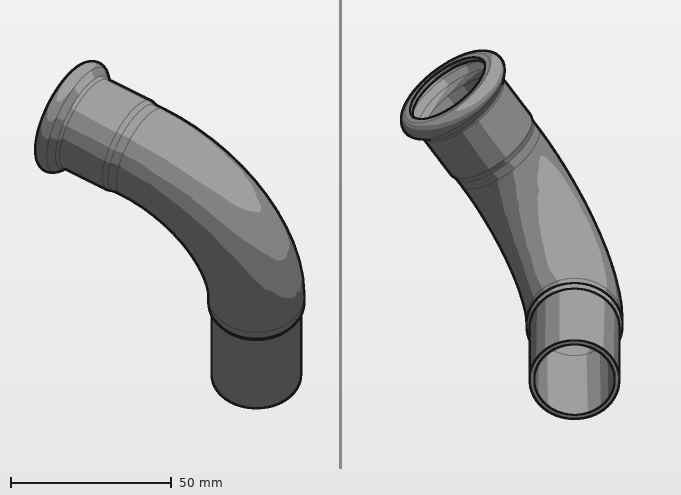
import cadquery as cq
import math

wall = 1.5
overall_height = 98.85
spigot_radius = 28.0 / 2
tube_radius = 30.0 / 2
socket_radius = 31.0 / 2
socket_bore_radius = 28.0 / 2
bead_radius = 37.7 / 2
bend_radius = 42.1
collar_length = 3.1
taper_length = 1.8
socket_face_x = -71.1
bead_round = 3.0
bead_cone_angle = math.radians(45)
bead_length = 8.3
bead_blend_radius = 1.7

bore_radius = spigot_radius - wall
collar_end = bend_radius + collar_length
taper_end = collar_end + taper_length
seal_round = bead_round - wall
seal_blend_radius = bead_blend_radius + wall
bead_center_radius = bead_radius - bead_round
spigot_end_z = bead_radius - overall_height


def bead_arc(radius, angle):
    """Point on the bead rounding, with the angle measured from the outward radial direction."""
    return (
        socket_face_x + bead_round + radius * math.sin(angle),
        bead_center_radius + radius * math.cos(angle),
    )


def bead_profile(outline, radius, blend_radius, barrel_radius):
    """Add the rounded bead, its cone and the blend into the socket barrel."""
    cone_start = bead_arc(radius, bead_cone_angle)
    blend_end = socket_face_x + bead_length
    blend_start = blend_end - blend_radius * math.sin(bead_cone_angle)
    blend_rise = blend_radius * (1 - math.cos(bead_cone_angle))
    return (
        outline.lineTo(*bead_arc(radius, -math.pi / 2))
        .threePointArc(bead_arc(radius, (bead_cone_angle - math.pi / 2) / 2), cone_start)
        .lineTo(blend_start, barrel_radius + blend_rise)
        .tangentArcPoint((blend_end, barrel_radius), relative=False)
    )


def revolve_about_x(outline):
    """Close the half profile and turn it around the socket axis."""
    return outline.close().revolve(360, (0, 0, 0), (1, 0, 0))


def socket_body():
    """Solid bead, barrel, taper and collar up to the start of the bend."""
    outline = cq.Workplane("XZ").moveTo(socket_face_x, 0)
    outline = bead_profile(outline, bead_round, bead_blend_radius, socket_radius)
    outline = (
        outline.lineTo(-taper_end, socket_radius)
        .lineTo(-collar_end, tube_radius)
        .lineTo(-bend_radius, tube_radius)
        .lineTo(-bend_radius, 0)
    )
    return revolve_about_x(outline)


def socket_cavity():
    """Socket bore with the seal groove inside the bead."""
    lip_back_x = socket_face_x + wall
    outline = (
        cq.Workplane("XZ")
        .moveTo(socket_face_x, 0)
        .lineTo(socket_face_x, socket_bore_radius)
        .lineTo(lip_back_x, socket_bore_radius)
    )
    outline = bead_profile(outline, seal_round, seal_blend_radius, socket_bore_radius)
    outline = outline.lineTo(-taper_end, socket_bore_radius).lineTo(-taper_end, 0)
    return revolve_about_x(outline)


def spigot_body():
    """Solid collar, taper and plain spigot below the bend."""
    return (
        cq.Workplane("XZ")
        .moveTo(0, spigot_end_z)
        .lineTo(spigot_radius, spigot_end_z)
        .lineTo(spigot_radius, -taper_end)
        .lineTo(tube_radius, -collar_end)
        .lineTo(tube_radius, -bend_radius)
        .lineTo(0, -bend_radius)
        .close()
        .revolve(360, (0, 0, 0), (0, 1, 0))
    )


def bend(radius):
    """Quarter turn from the socket axis down to the spigot axis."""
    return (
        cq.Workplane("YZ", origin=(-bend_radius, 0, 0))
        .circle(radius)
        .revolve(90, (0, -bend_radius, 0), (1, -bend_radius, 0))
    )


def bore():
    """Constant bore from the socket stop through the bend to the spigot end."""
    socket_leg = (
        cq.Workplane("YZ", origin=(-taper_end, 0, 0))
        .circle(bore_radius)
        .extrude(taper_end - bend_radius)
    )
    spigot_leg = (
        cq.Workplane("XY", origin=(0, 0, spigot_end_z))
        .circle(bore_radius)
        .extrude(-bend_radius - spigot_end_z)
    )
    return socket_leg.union(bend(bore_radius)).union(spigot_leg)


body = socket_body().union(bend(tube_radius)).union(spigot_body())
result = body.cut(socket_cavity()).cut(bore())